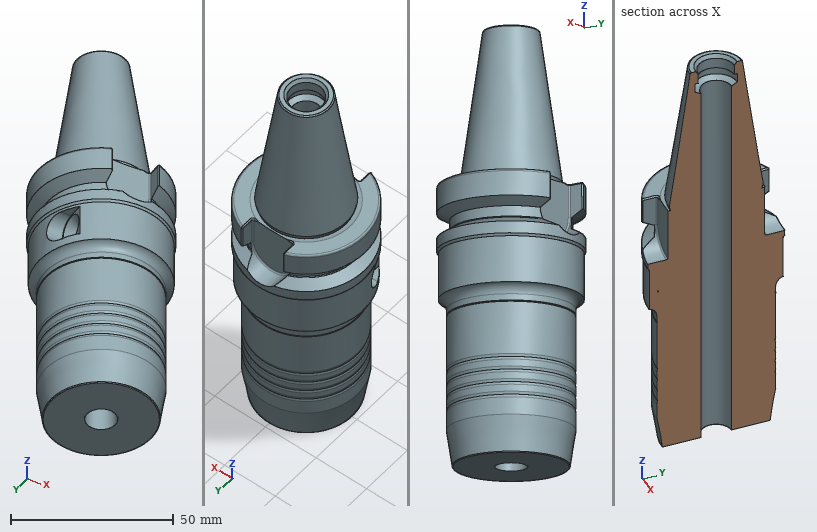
import cadquery as cq
import math

tolerance = 0.01
cut_clearance = 1.0

total_height = 138.4
taper_length = 48.4
gauge_height = total_height - taper_length
flange_gap = 1.0
flange_top = gauge_height - flange_gap

gauge_radius = 31.75 / 2
taper_ratio = 7 / 24
shank_top_radius = gauge_radius - taper_length * taper_ratio / 2
shank_edge_chamfer = 0.4
relief_outer_radius = 17.3
relief_inner_radius = 15.4
relief_depth = 0.6

flange_radius = 23.0
flange_rounding = 0.7
grip_groove_radius = 19.0
grip_groove_root_fillet = 0.45
grip_groove_center = 76.4
grip_groove_floor_width = 3.6
grip_flank_angle = math.radians(30)
grip_flank_height = (flange_radius - grip_groove_radius) * math.tan(grip_flank_angle)
flange_bottom = 67.7
flange_lower_chamfer_height = 0.8

collar_radius = 22.5

body_radius = 20.0
neck_fillet_end = 49.9
neck_fillet_radius = 3.3
nose_height = 11.6
nose_end_radius = 18.2
nose_edge_chamfer = 0.3

joint_height = 47.7
joint_groove_width = 0.4
joint_groove_depth = 0.15
ring_groove_count = 4
ring_groove_pitch = 4.0
ring_groove_first = 18.0
ring_groove_width = 1.8
ring_groove_depth = 0.2

bore_radius = 5.1
mouth_radius = 6.9
mouth_depth = 1.15
pilot_radius = 6.0
pilot_depth = 4.7
recess_radius = 7.0
recess_depth = 7.7
recess_cone_slope = math.radians(30)
recess_cone_height = (recess_radius - bore_radius) * math.tan(recess_cone_slope)

slot_half_width = 8.05
slot_floor_offset = 16.3
slot_round_center = 78.4
slot_floor_fillet = 0.5
slot_edge_chamfer = 0.45

pocket_height = 61.4
pocket_y = -10.0
pocket_floor_x = -16.4
pocket_radius = 5.35
drill_radius = 4.9
drill_tip_angle = 90.0


def neck_fillet_point(radius):
    """Point of the concave neck fillet at the given radius."""
    offset = body_radius + neck_fillet_radius - radius
    return radius, neck_fillet_end + math.sqrt(neck_fillet_radius**2 - offset**2)


def make_body():
    """Revolve the outer profile of the holder."""
    groove_half = grip_groove_floor_width / 2
    groove_floor_top = grip_groove_center + groove_half
    groove_floor_bottom = grip_groove_center - groove_half
    root_tangent = grip_groove_root_fillet * math.tan((math.pi / 2 - grip_flank_angle) / 2)
    root_fillet_start = (
        grip_groove_radius + root_tangent * math.cos(grip_flank_angle),
        groove_floor_bottom - root_tangent * math.sin(grip_flank_angle),
    )
    root_fillet_end = (grip_groove_radius, groove_floor_bottom + root_tangent)
    rounding_inset = flange_rounding * (1 - math.sqrt(0.5))
    fillet_mid_radius = body_radius + neck_fillet_radius * (1 - math.sqrt(0.5))
    profile = (
        cq.Workplane("XZ")
        .moveTo(0, 0)
        .lineTo(nose_end_radius - nose_edge_chamfer, 0)
        .lineTo(nose_end_radius, nose_edge_chamfer)
        .lineTo(body_radius, nose_height)
        .lineTo(body_radius, neck_fillet_end)
        .threePointArc(neck_fillet_point(fillet_mid_radius), neck_fillet_point(collar_radius))
        .lineTo(collar_radius, flange_bottom)
        .lineTo(flange_radius, flange_bottom + flange_lower_chamfer_height)
        .lineTo(flange_radius, groove_floor_bottom - grip_flank_height)
        .lineTo(*root_fillet_start)
        .tangentArcPoint(root_fillet_end, relative=False)
        .lineTo(grip_groove_radius, groove_floor_top)
        .lineTo(flange_radius, groove_floor_top + grip_flank_height)
        .lineTo(flange_radius, flange_top - flange_rounding)
        .threePointArc(
            (flange_radius - rounding_inset, flange_top - rounding_inset),
            (flange_radius - flange_rounding, flange_top),
        )
        .lineTo(relief_outer_radius, flange_top)
        .lineTo(relief_inner_radius, flange_top - relief_depth)
        .lineTo(gauge_radius, gauge_height)
        .lineTo(shank_top_radius + shank_edge_chamfer * taper_ratio / 2, total_height - shank_edge_chamfer)
        .lineTo(shank_top_radius - shank_edge_chamfer, total_height)
        .lineTo(0, total_height)
        .close()
    )
    return profile.revolve(360, (0, 0, 0), (0, 1, 0))


def make_v_groove(center_height, width, depth):
    """Ring that cuts a V-groove into the chuck body."""
    profile = cq.Workplane("XZ").polyline(
        [
            (body_radius, center_height - width / 2),
            (body_radius - depth, center_height),
            (body_radius, center_height + width / 2),
        ]
    )
    return profile.close().revolve(360, (0, 0, 0), (0, 1, 0))


def make_bore():
    """Through bore with a coned mouth, a pilot and a wider recess at the shank end."""
    recess_floor = total_height - recess_depth
    pilot_floor = total_height - pilot_depth
    profile = cq.Workplane("XZ").polyline(
        [
            (0, 0),
            (bore_radius, 0),
            (bore_radius, recess_floor - recess_cone_height),
            (recess_radius, recess_floor),
            (recess_radius, pilot_floor),
            (pilot_radius, pilot_floor),
            (pilot_radius, total_height - mouth_depth),
            (mouth_radius, total_height),
            (0, total_height),
        ]
    )
    return profile.close().revolve(360, (0, 0, 0), (0, 1, 0))


def make_drive_slot():
    """Round-bottomed drive slot on the -Y side, with a rounded floor edge."""
    slot = (
        cq.Workplane("XZ", origin=(0, -slot_floor_offset, 0))
        .moveTo(-slot_half_width, gauge_height)
        .lineTo(-slot_half_width, slot_round_center)
        .threePointArc((0, slot_round_center - slot_half_width), (slot_half_width, slot_round_center))
        .lineTo(slot_half_width, gauge_height)
        .close()
        .extrude(flange_radius - slot_floor_offset + cut_clearance)
    )
    return slot.faces(">Y").edges("not >Z").fillet(slot_floor_fillet)


def make_side_pocket():
    """Pocket open to -X and -Y, with a round inner end and a drill point."""
    depth = flange_radius + pocket_floor_x
    plane = cq.Workplane("YZ", origin=(pocket_floor_x, pocket_y, pocket_height))
    pocket = plane.circle(pocket_radius).extrude(-depth)
    run_out = flange_radius + pocket_y
    opening = plane.center(-run_out / 2, 0).rect(run_out, 2 * pocket_radius).extrude(-depth)
    tip_length = drill_radius / math.tan(math.radians(drill_tip_angle / 2))
    tip = cq.Solid.makeCone(
        drill_radius,
        0,
        tip_length,
        cq.Vector(pocket_floor_x, pocket_y, pocket_height),
        cq.Vector(1, 0, 0),
    )
    return pocket.union(opening).union(cq.Workplane(tip))


def chamfer_slot_edges(body):
    """Chamfer the slot wall edges on the outside and top of the upper flange ring."""
    inner_y = slot_floor_offset + slot_floor_fillet
    lowest = grip_groove_center + grip_groove_floor_width / 2 + grip_flank_height
    edges = []
    for edge in body.edges().vals():
        box = edge.BoundingBox()
        on_wall = box.xlen < tolerance and abs(abs(edge.Center().x) - slot_half_width) < tolerance
        outside_floor = abs(edge.Center().y) > inner_y + tolerance
        if on_wall and outside_floor and box.zmin > lowest - tolerance:
            edges.append(edge)
    return body.newObject(edges).chamfer(slot_edge_chamfer)


result = make_body().cut(make_bore())
result = result.cut(make_v_groove(joint_height, joint_groove_width, joint_groove_depth))
for index in range(ring_groove_count):
    groove_height = ring_groove_first + index * ring_groove_pitch
    result = result.cut(make_v_groove(groove_height, ring_groove_width, ring_groove_depth))

drive_slot = make_drive_slot()
for angle in (0, 180):
    result = result.cut(drive_slot.rotate((0, 0, 0), (0, 0, 1), angle))

result = chamfer_slot_edges(result)
result = result.cut(make_side_pocket())